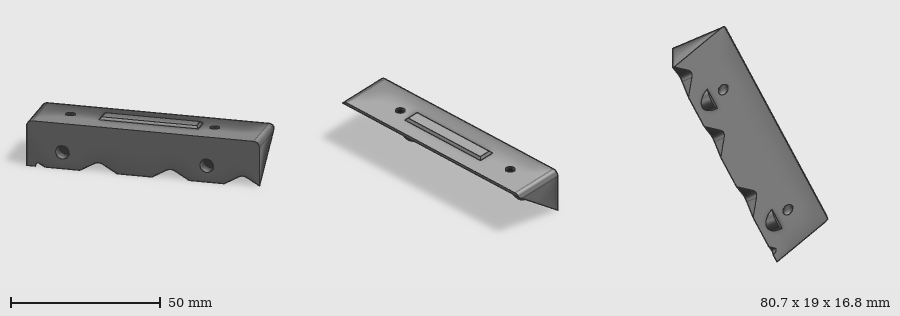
import cadquery as cq
import math

LENGTH = 80.7
DEPTH = 19.0
OVERALL_HEIGHT = 16.8
PAD_HEIGHT = 0.8
BODY_HEIGHT = OVERALL_HEIGHT - PAD_HEIGHT
BACK_LIP = 1.0
CORNER_RADIUS = 2.0

PITCH = 25.0
FIRST_NOTCH_X = -0.1
NOTCH_COUNT = 4
NOTCH_HALF_WIDTH = 6.5
NOTCH_ANGLE = math.radians(30)
NOTCH_CROWN_RADIUS = 3.0
FOOT_WIDTH = 3.1
FOOT_NOTCH_RADIUS = 1.0

PAD_LENGTH = 34.45
PAD_WIDTH = 6.0
PAD_BEVEL = 0.8
PAD_CENTER_Y = 10.1

HOLE_XS = [FIRST_NOTCH_X + (step + 0.5) * PITCH for step in (0, 2)]
SCREW_HOLE_DIAMETER = 3.2
SCREW_HOLE_Y = 10.0
SOCKET_DIAMETER = 4.7
SOCKET_Z = 5.8
SOCKET_DEPTH = 5.0
BOSS_DIAMETER = 8.15
BOSS_DEPTH = 6.0


def make_wedge():
    """Triangular bar with a thin back lip and rounded upper end edges."""
    wedge = (
        cq.Workplane("YZ")
        .polyline([(0, 0), (DEPTH, BODY_HEIGHT - BACK_LIP), (DEPTH, BODY_HEIGHT), (0, BODY_HEIGHT)])
        .close()
        .extrude(LENGTH)
    )
    end_blank = (
        cq.Workplane("XY")
        .box(LENGTH, DEPTH, BODY_HEIGHT, centered=False)
        .edges("|Y and >Z")
        .fillet(CORNER_RADIUS)
    )
    return wedge.intersect(end_blank)


def make_notch(center_x):
    """Triangular cutter with a rounded crown, running through in Y."""
    apex_z = NOTCH_HALF_WIDTH * math.tan(NOTCH_ANGLE)
    notch = (
        cq.Workplane("XZ")
        .polyline([
            (center_x - NOTCH_HALF_WIDTH, 0),
            (center_x, apex_z),
            (center_x + NOTCH_HALF_WIDTH, 0),
        ])
        .close()
        .extrude(-DEPTH)
    )
    return notch.edges("|Y and >Z").fillet(NOTCH_CROWN_RADIUS)


def make_foot_notch():
    """First notch, cut off upright at the foot and rounded inside."""
    right_x = FIRST_NOTCH_X + NOTCH_HALF_WIDTH
    wall_z = (right_x - FOOT_WIDTH) * math.tan(NOTCH_ANGLE)
    notch = (
        cq.Workplane("XZ")
        .polyline([(FOOT_WIDTH, 0), (FOOT_WIDTH, wall_z), (right_x, 0)])
        .close()
        .extrude(-DEPTH)
    )
    return notch.edges("|Y and >Z").fillet(FOOT_NOTCH_RADIUS)


def make_pad():
    """Bar with all four sides sloping inward."""
    return (
        cq.Workplane("XY", origin=(LENGTH / 2, PAD_CENTER_Y, BODY_HEIGHT))
        .rect(PAD_LENGTH, PAD_WIDTH)
        .workplane(offset=PAD_HEIGHT)
        .rect(PAD_LENGTH - 2 * PAD_BEVEL, PAD_WIDTH - 2 * PAD_BEVEL)
        .loft(ruled=True)
    )


def make_socket_cylinders(diameter, depth):
    """Cylinders reaching back from the front face at both socket positions."""
    centers = [(x, SOCKET_Z) for x in HOLE_XS]
    return cq.Workplane("XZ").pushPoints(centers).circle(diameter / 2).extrude(-depth)


def make_screw_holes():
    """Vertical through holes behind the sockets."""
    centers = [(x, SCREW_HOLE_Y) for x in HOLE_XS]
    return cq.Workplane("XY").pushPoints(centers).circle(SCREW_HOLE_DIAMETER / 2).extrude(BODY_HEIGHT)


result = make_wedge().cut(make_foot_notch())
for index in range(1, NOTCH_COUNT):
    result = result.cut(make_notch(FIRST_NOTCH_X + index * PITCH))

result = (
    result.union(make_pad())
    .union(make_socket_cylinders(BOSS_DIAMETER, BOSS_DEPTH))
    .cut(make_socket_cylinders(SOCKET_DIAMETER, SOCKET_DEPTH))
    .cut(make_screw_holes())
)